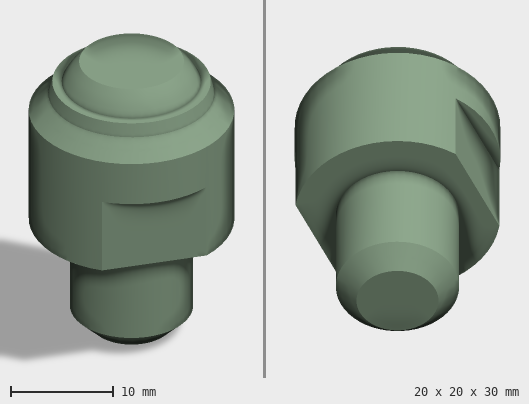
import cadquery as cq
import math

total_height = 30.0
pin_height = 12.0
flat_top = 19.85
body_top = 24.45
collar_base = 26.35
collar_top = 27.7

pin_diameter = 12.0
body_diameter = 20.0
collar_base_diameter = 16.2
collar_top_diameter = 15.42
ball_diameter = 15.0
ball_flat_diameter = 10.2

pin_chamfer = 2.0
across_flats = 17.0

ball_radius = ball_diameter / 2
ball_flat_radius = ball_flat_diameter / 2
ball_center = total_height - math.sqrt(ball_radius**2 - ball_flat_radius**2)


def ball_radius_at(z):
    """Radius of the ball's horizontal section at height z."""
    return math.sqrt(ball_radius**2 - (z - ball_center)**2)


def turned_body():
    """Pin, body, collar and truncated ball, revolved about Z."""
    arc_middle = (collar_top + total_height) / 2
    profile = (
        cq.Workplane("XZ")
        .moveTo(0, 0)
        .lineTo(pin_diameter / 2 - pin_chamfer, 0)
        .lineTo(pin_diameter / 2, pin_chamfer)
        .lineTo(pin_diameter / 2, pin_height)
        .lineTo(body_diameter / 2, pin_height)
        .lineTo(body_diameter / 2, body_top)
        .lineTo(collar_base_diameter / 2, collar_base)
        .lineTo(collar_top_diameter / 2, collar_top)
        .lineTo(ball_radius_at(collar_top), collar_top)
        .threePointArc((ball_radius_at(arc_middle), arc_middle), (ball_flat_radius, total_height))
        .lineTo(0, total_height)
        .close()
    )
    return profile.revolve(360, (0, 0, 0), (0, 1, 0))


def flat_cutter(side):
    """Block outside one wrench flat; side is -1 or +1 along X."""
    cut_depth = body_diameter / 2
    return (
        cq.Workplane("XY", origin=(side * (across_flats + cut_depth) / 2, 0, pin_height))
        .rect(cut_depth, body_diameter)
        .extrude(flat_top - pin_height)
    )


result = turned_body()
for side in (-1, 1):
    result = result.cut(flat_cutter(side))